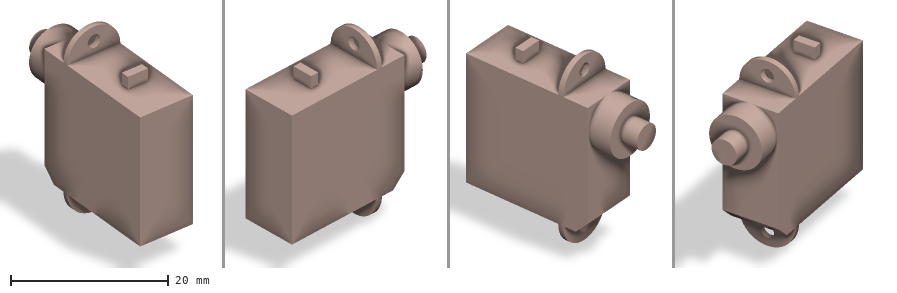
import cadquery as cq

case_length = 20.0
case_width = 8.5
case_height = 19.7
corner_chamfer = 2.0

ear_offset = 4.0
ear_thickness = 0.85
ear_radius = case_width / 2
ear_hole_diameter = 2.0
ear_hole_offset = 2.0

boss_diameter = 8.0
boss_length = 3.5
axis_height = case_height - boss_diameter / 2

shaft_diameter = 3.8
shaft_projection = 2.7
collar_length = 0.17
shaft_length = shaft_projection - collar_length

block_offset = 12.77
block_length = 1.25
block_width = 3.21
block_height = 2.0


def rod_along_x(diameter, length, start_x, center_z):
    """Cylinder running toward +X from start_x."""
    return (
        cq.Workplane("YZ", origin=(start_x, 0, center_z))
        .circle(diameter / 2)
        .extrude(length)
    )


def make_case():
    """Box with its lower front edge chamfered."""
    return (
        cq.Workplane("XY")
        .box(case_length, case_width, case_height, centered=(False, True, False))
        .edges("<X and <Z")
        .chamfer(corner_chamfer)
    )


def make_ear(face_z, direction):
    """Half-round ear on the face at face_z; direction is +1 for up and -1 for down."""
    ear = (
        cq.Workplane("YZ", origin=(ear_offset, 0, face_z))
        .moveTo(-ear_radius, 0)
        .threePointArc((0, direction * ear_radius), (ear_radius, 0))
        .close()
        .extrude(ear_thickness)
    )
    hole_z = face_z + direction * ear_hole_offset
    return ear.cut(rod_along_x(ear_hole_diameter, ear_thickness, ear_offset, hole_z))


def make_block():
    """Rectangular block standing on top of the case."""
    return cq.Workplane("XY", origin=(block_offset, 0, case_height)).box(
        block_length, block_width, block_height, centered=(False, True, False)
    )


def make_housing():
    """Case with its ears, block, boss and collar as one solid."""
    collar_front_x = -boss_length - collar_length
    housing = make_case()
    for face_z, direction in ((case_height, 1), (0, -1)):
        housing = housing.union(make_ear(face_z, direction))
    housing = housing.union(make_block())
    housing = housing.union(rod_along_x(boss_diameter, boss_length, -boss_length, axis_height))
    return housing.union(rod_along_x(shaft_diameter, collar_length, collar_front_x, axis_height))


def make_shaft():
    """Output shaft, ending on the front of the collar."""
    return rod_along_x(shaft_diameter, shaft_length, -boss_length - shaft_projection, axis_height)


housing = make_housing()
shaft = make_shaft()

result = cq.Compound.makeCompound([housing.solids().val(), shaft.val()])